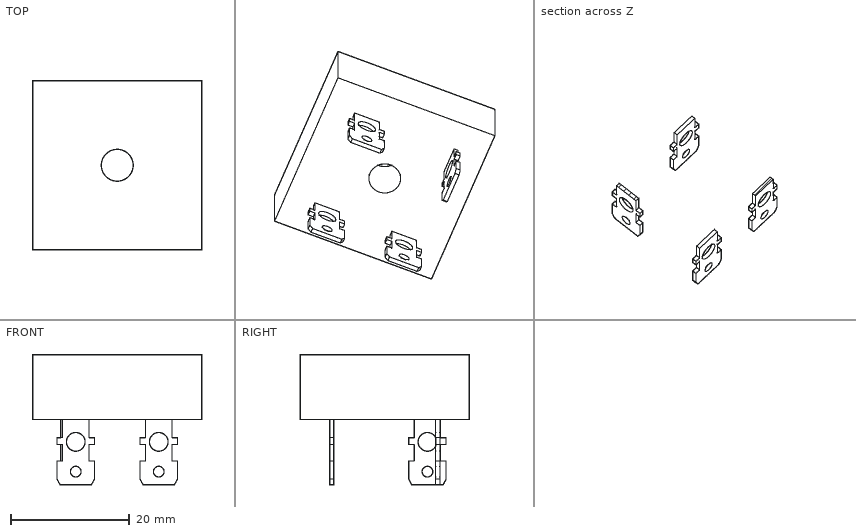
import cadquery as cq

BODY_SIDE = 28.6
BODY_HEIGHT = 11.0
MOUNT_HOLE_DIAMETER = 5.35

BLADE_LENGTH = 11.01
BLADE_THICKNESS = 0.75
BLADE_WIDTH = 6.35
NECK_WIDTH = 4.5
STOP_TOP_DEPTH = 3.03
STOP_HEIGHT = 1.2
SHOULDER_DEPTH = 6.95
TIP_CHAMFER_WIDTH = 0.51
TIP_CHAMFER_HEIGHT = 0.97
LARGE_HOLE_DIAMETER = 3.12
LARGE_HOLE_DEPTH = 3.75
SMALL_HOLE_DIAMETER = 1.77
SMALL_HOLE_DEPTH = 8.78

BLADE_X = 7.0
BLADE_Y = 8.95
TURNED_BLADE_X = -9.18
TURNED_BLADE_Y = 7.2


def make_body():
    """Square block with a through hole down its centre."""
    block = cq.Workplane("XY").rect(BODY_SIDE, BODY_SIDE).extrude(BODY_HEIGHT)
    hole = cq.Workplane("XY").circle(MOUNT_HOLE_DIAMETER / 2).extrude(BODY_HEIGHT)
    return block.cut(hole)


def blade_hole(diameter, depth):
    """Cutter through the blade thickness."""
    return (
        cq.Workplane("XZ")
        .center(0, -depth)
        .circle(diameter / 2)
        .extrude(BLADE_THICKNESS / 2, both=True)
    )


def make_blade():
    """Blade hanging below the origin, with its flat faces toward -Y and +Y."""
    half_neck = NECK_WIDTH / 2
    half_blade = BLADE_WIDTH / 2
    stop_bottom_depth = STOP_TOP_DEPTH + STOP_HEIGHT
    right_edge = [
        (half_neck, 0),
        (half_neck, -STOP_TOP_DEPTH),
        (half_blade, -STOP_TOP_DEPTH),
        (half_blade, -stop_bottom_depth),
        (half_neck, -stop_bottom_depth),
        (half_neck, -SHOULDER_DEPTH),
        (half_blade, -SHOULDER_DEPTH),
        (half_blade, -BLADE_LENGTH + TIP_CHAMFER_HEIGHT),
        (half_blade - TIP_CHAMFER_WIDTH, -BLADE_LENGTH),
    ]
    left_edge = [(-x, z) for x, z in reversed(right_edge)]
    blade = (
        cq.Workplane("XZ")
        .polyline(right_edge + left_edge)
        .close()
        .extrude(BLADE_THICKNESS / 2, both=True)
    )
    blade = blade.cut(blade_hole(LARGE_HOLE_DIAMETER, LARGE_HOLE_DEPTH))
    return blade.cut(blade_hole(SMALL_HOLE_DIAMETER, SMALL_HOLE_DEPTH))


BLADE_PLACES = [
    (-BLADE_X, -BLADE_Y, 0),
    (BLADE_X, -BLADE_Y, 0),
    (BLADE_X, BLADE_Y, 0),
    (TURNED_BLADE_X, TURNED_BLADE_Y, 90),
]

result = make_body()
for blade_x, blade_y, turn in BLADE_PLACES:
    blade = make_blade().rotate((0, 0, 0), (0, 0, 1), turn)
    result = result.union(blade.translate((blade_x, blade_y, 0)))